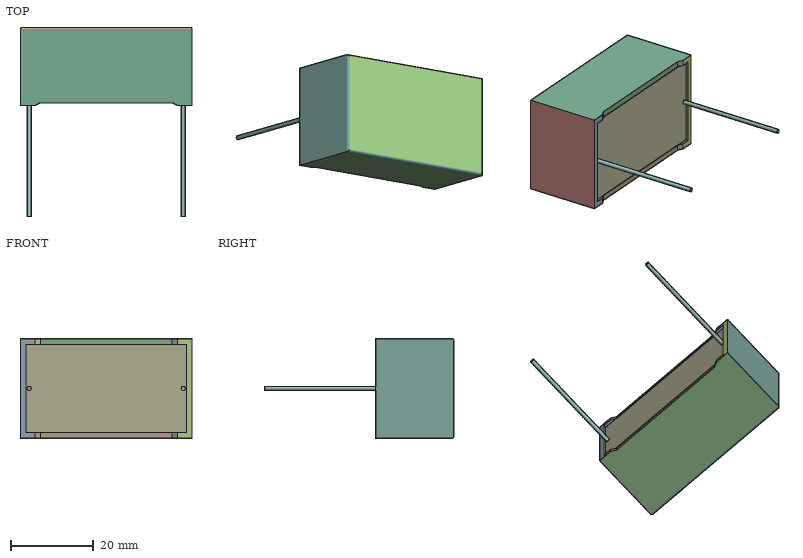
import cadquery as cq

case_width = 41.8
case_height = 24.3
case_depth = 19.1
wall = 1.45
back_edge_radius = 0.5

relief_depth = 0.7
relief_foot_inset = 3.55
relief_ramp_run = 1.35

potting_proud = 0.1
potting_face_y = relief_depth - potting_proud
potting_back_y = case_depth - wall

overall_length = 46.1
lead_diameter = 1.0
lead_pitch = 37.53
lead_tip_y = case_depth - overall_length
lead_root_y = (potting_face_y + potting_back_y) / 2


def block(width, height, front_y, back_y):
    """Box centred on X and Z, running from front_y to back_y."""
    return cq.Workplane("XY").box(
        width, back_y - front_y, height, centered=(True, False, True)
    ).translate((0, front_y, 0))


def make_relief():
    """Trapezoidal cutter that lowers the mouth between the case corners."""
    foot_x = case_width / 2 - relief_foot_inset
    floor_x = foot_x - relief_ramp_run
    return (
        cq.Workplane("XY")
        .polyline([(-foot_x, 0), (foot_x, 0), (floor_x, relief_depth), (-floor_x, relief_depth)])
        .close()
        .extrude(case_height / 2, both=True)
    )


def make_case():
    shell = block(case_width, case_height, 0, case_depth)
    shell = shell.faces(">Y").edges().fillet(back_edge_radius)
    cavity = block(case_width - 2 * wall, case_height - 2 * wall, 0, potting_back_y)
    return shell.cut(cavity).cut(make_relief())


def make_lead(x):
    lead = cq.Solid.makeCylinder(
        lead_diameter / 2,
        lead_root_y - lead_tip_y,
        cq.Vector(x, lead_tip_y, 0),
        cq.Vector(0, 1, 0),
    )
    return cq.Workplane(obj=lead)


def make_potting(lead_bodies):
    """Solid fill of the case cavity with a matching hole for each lead."""
    fill = block(case_width - 2 * wall, case_height - 2 * wall, potting_face_y, potting_back_y)
    for lead in lead_bodies:
        fill = fill.cut(lead)
    return fill


case = make_case()
leads = [make_lead(side * lead_pitch / 2) for side in (-1, 1)]
potting = make_potting(leads)

result = cq.Compound.makeCompound([case.val(), potting.val(), *[lead.val() for lead in leads]])